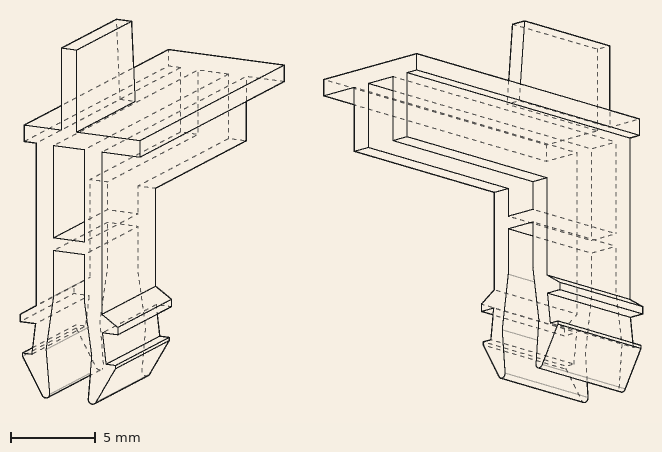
import cadquery as cq

total_height = 21.5
total_length = 18.8
total_width = 7.9

wall = 1.0
fin_height = 5.0
fin_top_length = 7.18
fin_base_length = 7.63
plate_width = 7.65

leg_outer_x = 2.17
leg_inner_x = 1.0
leg_length = 7.0
rail_bottom_z = 11.55
crossbar_bottom_z = 9.07
crossbar_thickness = 0.77

barb_x = 3.22
barb_shoulder_z = 5.57
barb_corner_z = 4.9
barb_bottom_z = 4.45
neck_top_x = 2.21
neck_bottom_x = 2.45
bend_z = 6.28
waist_x = 1.5
waist_z = 2.97

hook_x = 3.07
hook_top_z = 2.55
hook_corner_z = 2.36
tip_outer_x = 1.78
tip_outer_z = 0.15
tip_bottom_x = 1.55
tip_inner_x = 1.27
tip_inner_z = 0.25

plate_top_z = total_height - fin_height
plate_bottom_z = plate_top_z - wall
plate_right_x = total_width - barb_x
plate_left_x = plate_right_x - plate_width


def block(x_min, x_max, length, z_min, z_max):
    """Box reaching back from the front face."""
    size = (x_max - x_min, length, z_max - z_min)
    return cq.Workplane("XY").box(*size, centered=False).translate((x_min, 0, z_min))


def make_fin():
    """Fin with a sloping rear edge, sunk through the plate's top face."""
    return (
        cq.Workplane("YZ")
        .moveTo(0, plate_bottom_z)
        .lineTo(0, total_height)
        .lineTo(fin_top_length, total_height)
        .lineTo(fin_base_length, plate_top_z)
        .lineTo(fin_base_length, plate_bottom_z)
        .close()
        .extrude(wall / 2, both=True)
    )


def make_leg():
    """Right-hand snap leg together with the long rail above it."""
    leg = (
        cq.Workplane("XZ")
        .moveTo(leg_inner_x, plate_top_z)
        .lineTo(leg_outer_x, plate_top_z)
        .lineTo(leg_outer_x, barb_shoulder_z)
        .lineTo(barb_x, barb_corner_z)
        .lineTo(barb_x, barb_bottom_z)
        .lineTo(neck_top_x, barb_bottom_z)
        .lineTo(neck_bottom_x, hook_top_z)
        .lineTo(hook_x, hook_top_z)
        .lineTo(hook_x, hook_corner_z)
        .lineTo(tip_outer_x, tip_outer_z)
        .threePointArc((tip_bottom_x, 0), (tip_inner_x, tip_inner_z))
        .lineTo(waist_x, waist_z)
        .lineTo(leg_inner_x, bend_z)
        .close()
        .extrude(-leg_length)
    )
    rail = block(leg_inner_x, leg_outer_x, total_length, rail_bottom_z, plate_top_z)
    return leg.union(rail)


plate = block(plate_left_x, plate_right_x, total_length, plate_bottom_z, plate_top_z)
crossbar = block(
    -leg_inner_x,
    leg_inner_x,
    leg_length,
    crossbar_bottom_z,
    crossbar_bottom_z + crossbar_thickness,
)
right_leg = make_leg()
left_leg = right_leg.mirror("YZ")

result = plate.union(make_fin()).union(right_leg).union(left_leg).union(crossbar).clean()